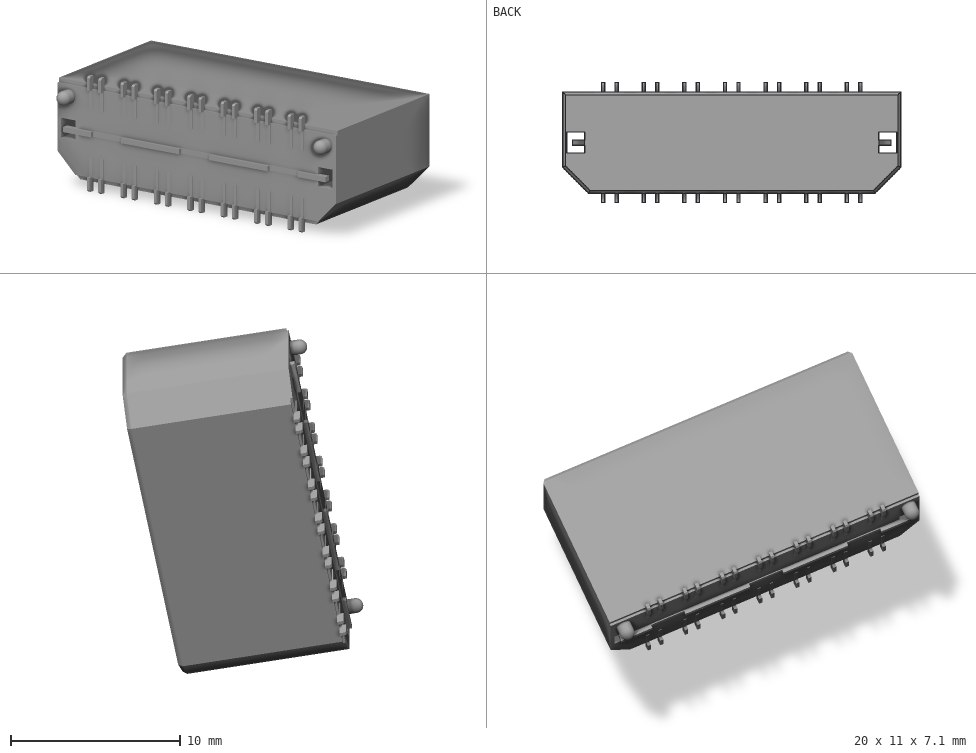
import cadquery as cq
import math


WIDTH = 20.02
DEPTH = 10.0
HEIGHT = 6.0
CORNER_CUT = 1.55
REAR_CHAMFER_DEPTH = 0.26
REAR_CHAMFER_INSET = 0.18
REBATE_DEPTH = 0.15
REBATE_HEIGHT = 0.26

WINDOW_WIDTH = 1.05
WINDOW_HEIGHT = 1.22
WINDOW_EDGE = 0.26

STRIP_RISE = 0.05
NOTCH_RISE = 0.06
FOOT_RISE = 0.26

PLATE_WIDTH = 18.85
PLATE_THICKNESS = 0.32
PLATE_SEAT = 0.15
NOTCH_COUNT = 3
NOTCH_WIDTH = 2.16
NOTCH_PITCH = 6.35

PAIR_COUNT = 7
PAIR_PITCH = 2.4
PAIR_SPACING = 0.8
LEAD_WIDTH = 0.2
ROW_SPAN = 7.1
LEAD_TIP = ROW_SPAN / 2
LEAD_ROOT = 1.46
FOOT_ROOT = 2.66
TIP_CHAMFER = 0.1

PEG_DIAMETER = 0.88
PEG_RADIUS = PEG_DIAMETER / 2
PEG_LENGTH = 0.96
PEG_SPACING = 18.45
PEG_OFFSET = 0.05
PEG_HEIGHT = 2.02


def box(x_range, y_range, z_range):
    """Box between the given limits along each axis."""
    lows, highs = zip(x_range, y_range, z_range)
    lengths = [high - low for low, high in zip(lows, highs)]
    return cq.Workplane("XY").box(*lengths, centered=False).translate(lows)


def centred(length, middle=0.0):
    """Limits of a length centred on a position."""
    return middle - length / 2, middle + length / 2


def make_block():
    """Housing outline with cut lower corners, chamfered around the rear face."""
    half_width = WIDTH / 2
    half_height = HEIGHT / 2
    outline = [
        (-half_width, half_height),
        (half_width, half_height),
        (half_width, -half_height + CORNER_CUT),
        (half_width - CORNER_CUT, -half_height),
        (-half_width + CORNER_CUT, -half_height),
        (-half_width, -half_height + CORNER_CUT),
    ]
    main = cq.Workplane("XZ").polyline(outline).close().extrude(-(DEPTH - REAR_CHAMFER_DEPTH))
    taper = math.degrees(math.atan(REAR_CHAMFER_INSET / REAR_CHAMFER_DEPTH))
    rear_start = cq.Workplane("XZ", origin=(0, DEPTH - REAR_CHAMFER_DEPTH, 0))
    rear = rear_start.polyline(outline).close().extrude(-REAR_CHAMFER_DEPTH, taper=taper)
    return main.union(rear)


def cut_rebates(block):
    """Step back the upper and lower front edges over the full width."""
    for side in (-1, 1):
        middle = side * (HEIGHT - REBATE_HEIGHT) / 2
        block = block.cut(box(centred(WIDTH), (0, REBATE_DEPTH), centred(REBATE_HEIGHT, middle)))
    return block


def cut_windows(block):
    """Open one rectangular window through each end."""
    for side in (-1, 1):
        middle = side * (WIDTH / 2 - WINDOW_EDGE - WINDOW_WIDTH / 2)
        block = block.cut(box(centred(WINDOW_WIDTH, middle), (0, DEPTH), centred(WINDOW_HEIGHT)))
    return block


def make_plate():
    """Ground plate on the mid-plane, its front edge lowered at three notches."""
    plate = box(centred(PLATE_WIDTH), (-FOOT_RISE, PLATE_SEAT), centred(PLATE_THICKNESS))
    for index in range(NOTCH_COUNT):
        notch_middle = (index - (NOTCH_COUNT - 1) / 2) * NOTCH_PITCH
        notch_x = centred(NOTCH_WIDTH, notch_middle)
        plate = plate.cut(box(notch_x, (-FOOT_RISE, -NOTCH_RISE), centred(PLATE_THICKNESS)))
    return plate


def make_upper_lead(x_middle):
    """Thin strip on the mounting face, ending in a thicker foot beyond the housing."""
    ledge = HEIGHT / 2 - REBATE_HEIGHT
    profile = [
        (0, LEAD_ROOT),
        (-STRIP_RISE, LEAD_ROOT),
        (-STRIP_RISE, FOOT_ROOT),
        (-FOOT_RISE, FOOT_ROOT),
        (-FOOT_RISE, LEAD_TIP - TIP_CHAMFER),
        (-FOOT_RISE + TIP_CHAMFER, LEAD_TIP),
        (REBATE_DEPTH, LEAD_TIP),
        (REBATE_DEPTH, ledge),
        (0, ledge),
    ]
    start = cq.Workplane("YZ", origin=(x_middle - LEAD_WIDTH / 2, 0, 0))
    return start.polyline(profile).close().extrude(LEAD_WIDTH)


def add_leads(block):
    """Add both rows of lead pairs; the lower row mirrors the upper one."""
    for pair in range(PAIR_COUNT):
        pair_middle = (pair - (PAIR_COUNT - 1) / 2) * PAIR_PITCH
        for x_middle in centred(PAIR_SPACING, pair_middle):
            lead = make_upper_lead(x_middle)
            block = block.union(lead).union(lead.mirror("XY"))
    return block


def make_housing():
    block = cut_windows(cut_rebates(make_block()))
    return add_leads(block.union(make_plate()))


def make_peg(x_middle):
    """Round peg standing on the mounting face, with a hemispherical end."""
    shank_length = PEG_LENGTH - PEG_RADIUS
    half_section = (
        cq.Workplane("XY", origin=(x_middle, 0, PEG_HEIGHT))
        .lineTo(PEG_RADIUS, 0)
        .lineTo(PEG_RADIUS, -shank_length)
        .radiusArc((0, -PEG_LENGTH), PEG_RADIUS)
        .close()
    )
    return half_section.revolve(360, (0, 0, 0), (0, 1, 0))


housing = make_housing()
pegs = [make_peg(x_middle) for x_middle in centred(PEG_SPACING, PEG_OFFSET)]

result = cq.Compound.makeCompound([housing.val(), *[peg.val() for peg in pegs]])